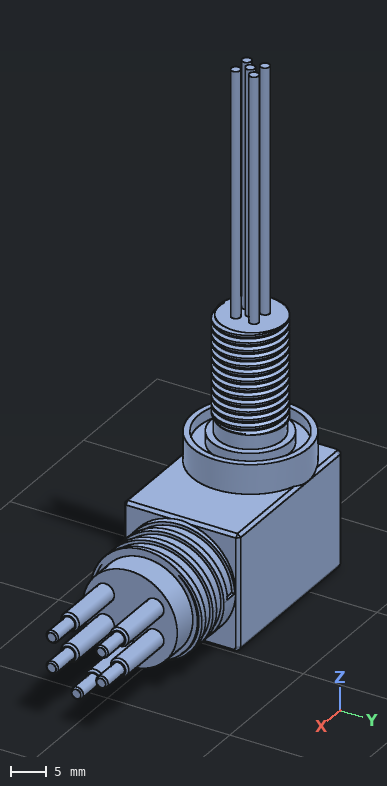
import cadquery as cq
import math

housing_length = 28.4
housing_width = 19.0
housing_height = 19.1
edge_radius = 1.0
edge_chamfer = 0.5

collar_diameter = housing_width
collar_top = 23.9
groove_outer_diameter = 17.0
groove_inner_diameter = 12.7
groove_depth = 1.8
neck_diameter = 10.4
thread_core_diameter = 10.0
thread_outer_diameter = 11.0
thread_pitch = 1.25
thread_root_width = 1.2
thread_crest_width = 0.3
thread_bottom = 26.4
thread_helix_start = 24.9
thread_top = 42.8
wire_diameter = 1.5
wire_offset = 1.5
wire_top = 82.8
plug_x = collar_diameter / 2

barrel_axis_z = 9.8
barrel_outer_diameter = 18.0
barrel_root_diameter = 17.0
barrel_end = 38.0
barrel_groove_width = 2.0
barrel_groove_pitch = 3.0
barrel_groove_start = 29.65
end_collar_diameter = 15.5
end_collar_end = 42.2
pin_diameter = 3.0
pin_shoulder = 52.1
pin_tip_diameter = 2.0
pin_tip_end = 56.8
pin_shoulder_chamfer = 0.3
pin_tip_chamfer = 0.25
pin_side_offset = 4.05
upper_pin_rise = 3.0
middle_pin_drop = 2.0
lower_pin_drop = 5.0
pin_positions = [
    (-pin_side_offset, upper_pin_rise),
    (pin_side_offset, upper_pin_rise),
    (-pin_side_offset, -middle_pin_drop),
    (pin_side_offset, -middle_pin_drop),
    (0, -lower_pin_drop),
]

overlap = 0.1


def vertical_rod(diameter, bottom, top, x=plug_x, y=0):
    """Round rod along Z."""
    base = cq.Workplane("XY", origin=(x, y, bottom))
    return base.circle(diameter / 2).extrude(top - bottom)


def horizontal_rod(diameter, start, end, y=0, rise=0):
    """Round rod along X, placed relative to the barrel axis."""
    base = cq.Workplane("YZ", origin=(start, y, barrel_axis_z + rise))
    return base.circle(diameter / 2).extrude(end - start)


def helical_strip(profile, pitch, height, radius):
    """Sweep a closed (radius, Z) profile along a right-handed helix about Z."""
    path = cq.Wire.makeHelix(pitch, height, radius)
    return cq.Workplane("XZ").polyline(profile).close().sweep(path, isFrenet=True)


def make_housing():
    block = cq.Workplane("XY").box(
        housing_length, housing_width, housing_height, centered=(False, True, False)
    )
    block = block.edges("(<X and |Z) or (<Z and |X) or (<X and <Z)").fillet(edge_radius)
    return block.faces(">X or >Z").edges().chamfer(edge_chamfer)


def make_vertical_thread():
    root_radius = thread_core_diameter / 2 - overlap
    crest_radius = thread_outer_diameter / 2
    half_root = thread_root_width / 2
    half_crest = thread_crest_width / 2
    profile = [
        (root_radius, -half_root),
        (crest_radius, -half_crest),
        (crest_radius, half_crest),
        (root_radius, half_root),
    ]
    length = thread_top + thread_pitch - thread_helix_start
    ridge = helical_strip(profile, thread_pitch, length, root_radius)
    ridge = ridge.translate((plug_x, 0, thread_helix_start))
    ridge = ridge.intersect(vertical_rod(2 * thread_outer_diameter, thread_bottom, thread_top))
    return vertical_rod(thread_core_diameter, thread_bottom, thread_top).union(ridge)


def make_vertical_plug():
    collar = vertical_rod(collar_diameter, housing_height - 2 * edge_chamfer, collar_top)
    groove_floor = collar_top - groove_depth
    groove = vertical_rod(groove_outer_diameter, groove_floor, collar_top)
    groove = groove.cut(vertical_rod(groove_inner_diameter, groove_floor, collar_top))
    plug = collar.cut(groove)
    plug = plug.union(vertical_rod(neck_diameter, groove_floor, thread_bottom))
    plug = plug.union(make_vertical_thread())
    places = [(0, 0)] + [(x, y) for x in (-wire_offset, wire_offset) for y in (-wire_offset, wire_offset)]
    for x, y in places:
        plug = plug.union(vertical_rod(wire_diameter, thread_top - overlap, wire_top, plug_x + x, y))
    return plug


def make_barrel():
    start = housing_length - 2 * edge_chamfer
    barrel = horizontal_rod(barrel_outer_diameter, start, barrel_end)
    root_radius = barrel_root_diameter / 2
    outside = barrel_outer_diameter / 2 + overlap
    half_width = barrel_groove_width / 2
    profile = [
        (root_radius, -half_width),
        (outside, -half_width),
        (outside, half_width),
        (root_radius, half_width),
    ]
    length = barrel_end - barrel_groove_start + barrel_groove_pitch
    groove = helical_strip(profile, barrel_groove_pitch, length, root_radius)
    groove = groove.rotate((0, 0, 0), (1, 1, 1), 120)
    groove = groove.translate((barrel_groove_start, 0, barrel_axis_z))
    groove = groove.intersect(horizontal_rod(2 * barrel_outer_diameter, 0, barrel_end))
    return barrel.cut(groove)


def make_pin(y, rise):
    shank = horizontal_rod(pin_diameter, end_collar_end - overlap, pin_shoulder, y, rise)
    shank = shank.faces(">X").chamfer(pin_shoulder_chamfer)
    tip = horizontal_rod(pin_tip_diameter, pin_shoulder - overlap, pin_tip_end, y, rise)
    return shank.union(tip.faces(">X").chamfer(pin_tip_chamfer))


result = make_housing().union(make_vertical_plug()).union(make_barrel())
result = result.union(horizontal_rod(end_collar_diameter, barrel_end - overlap, end_collar_end))
for pin_y, pin_rise in pin_positions:
    result = result.union(make_pin(pin_y, pin_rise))